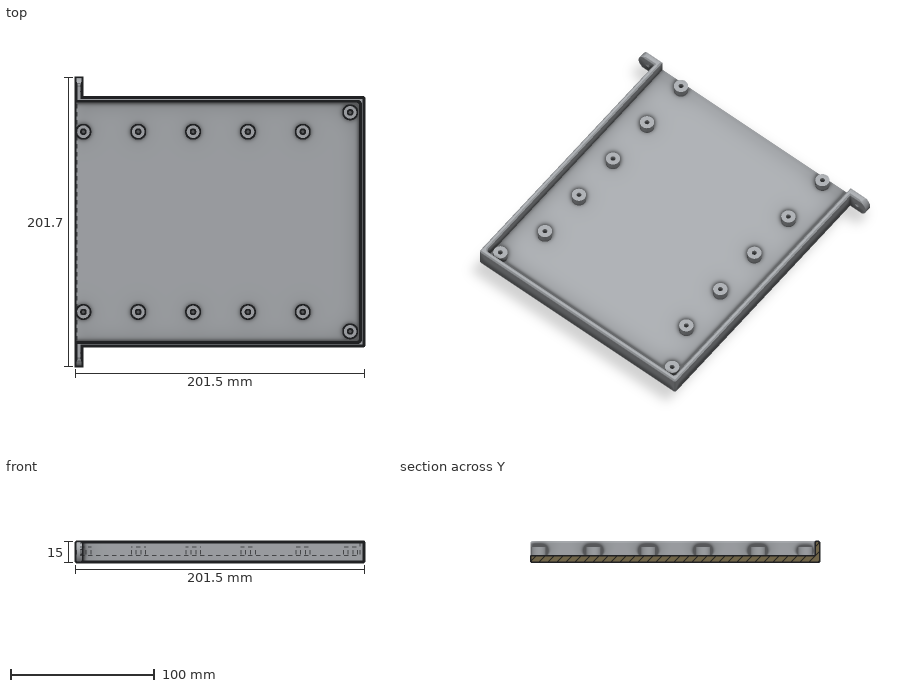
import cadquery as cq
import math

LENGTH = 201.5
BODY_WIDTH = 174.0
HEIGHT = 15.0
WALL = 3.5
FLOOR = 5.0
CAVITY_WIDTH = BODY_WIDTH - 2 * WALL
CAVITY_LENGTH = LENGTH - WALL

EDGE_CHAMFER = 1.0
CAVITY_CORNER_RADIUS = 2.0

EAR_SPAN = 201.72
EAR_THICKNESS = 5.0
EAR_TIP_RADIUS = 8.0
EAR_HOLE_DIAMETER = 3.5
EAR_TIP = EAR_SPAN / 2
EAR_CENTER = EAR_TIP - EAR_TIP_RADIUS
EAR_ARC_START = EAR_CENTER + math.sqrt(EAR_TIP_RADIUS**2 - (HEIGHT / 2) ** 2)

BOSS_DIAMETER = 10.0
BOSS_HOLE_DIAMETER = 3.4
BOSS_HEIGHT = 6.0
ROW_START = 5.5
ROW_PITCH = 38.2
ROW_COUNT = 5
ROW_OFFSET = 62.75
BACK_BOSS_X = 191.3
BACK_BOSS_OFFSET = 76.25

SELECTION_MARGIN = 0.1


def make_flange():
    """Front plate whose two ends are arcs slightly larger than a half-height radius."""
    return (
        cq.Workplane("YZ")
        .moveTo(-EAR_ARC_START, 0)
        .lineTo(EAR_ARC_START, 0)
        .threePointArc((EAR_TIP, HEIGHT / 2), (EAR_ARC_START, HEIGHT))
        .lineTo(-EAR_ARC_START, HEIGHT)
        .threePointArc((-EAR_TIP, HEIGHT / 2), (-EAR_ARC_START, 0))
        .close()
        .extrude(EAR_THICKNESS)
    )


def make_blank():
    """Solid T-shaped blank with its top and bottom outlines chamfered."""
    body = (
        cq.Workplane("XY")
        .box(LENGTH, BODY_WIDTH, HEIGHT, centered=(False, True, False))
        .edges("|Z and >X")
        .chamfer(EDGE_CHAMFER)
    )
    return body.union(make_flange()).faces("<Z or >Z").edges().chamfer(EDGE_CHAMFER)


def make_cavity():
    """Space between the walls, running out through the front."""
    return (
        cq.Workplane("XY", origin=(0, 0, FLOOR))
        .box(CAVITY_LENGTH, CAVITY_WIDTH, HEIGHT - FLOOR, centered=(False, True, False))
        .edges("|Z and >X")
        .fillet(CAVITY_CORNER_RADIUS)
    )


def chamfer_inner_rim(tray):
    """Break the inner top edge along the side walls and the back wall."""
    reach_y = CAVITY_WIDTH / 2 + SELECTION_MARGIN
    inner_rim = cq.selectors.BoxSelector(
        (-SELECTION_MARGIN, -reach_y, HEIGHT - SELECTION_MARGIN),
        (CAVITY_LENGTH + SELECTION_MARGIN, reach_y, HEIGHT + SELECTION_MARGIN),
        boundingbox=True,
    )
    return tray.edges(inner_rim).chamfer(EDGE_CHAMFER)


def boss_points():
    """Standoff centres, mirrored about the centre line."""
    points = []
    for side in (-1, 1):
        for index in range(ROW_COUNT):
            points.append((ROW_START + index * ROW_PITCH, side * ROW_OFFSET))
        points.append((BACK_BOSS_X, side * BACK_BOSS_OFFSET))
    return points


def make_bosses():
    """Round standoffs on the floor, each with a hole as deep as the standoff."""
    return (
        cq.Workplane("XY", origin=(0, 0, FLOOR))
        .pushPoints(boss_points())
        .circle(BOSS_DIAMETER / 2)
        .circle(BOSS_HOLE_DIAMETER / 2)
        .extrude(BOSS_HEIGHT)
    )


def make_ear_holes():
    """Mounting holes through the ears, concentric with the ear tips."""
    return (
        cq.Workplane("YZ")
        .pushPoints([(side * EAR_CENTER, HEIGHT / 2) for side in (-1, 1)])
        .circle(EAR_HOLE_DIAMETER / 2)
        .extrude(EAR_THICKNESS)
    )


tray = chamfer_inner_rim(make_blank().cut(make_cavity()))
result = tray.union(make_bosses()).cut(make_ear_holes())